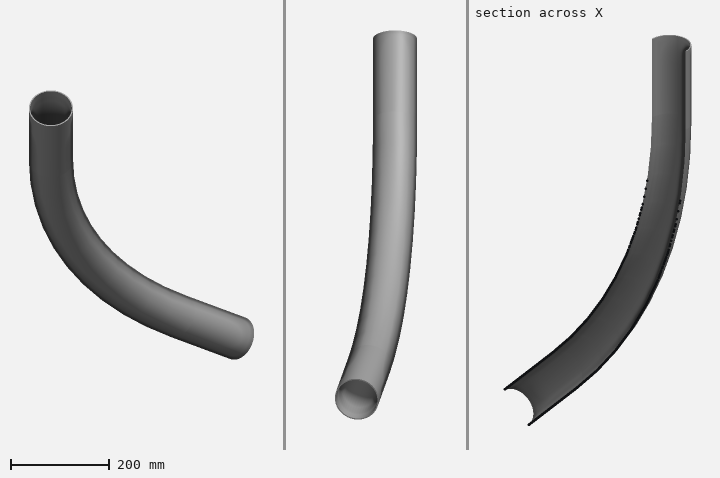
import cadquery as cq
import math

outer_diameter = 89.0
inner_diameter = 84.0
straight_length = 178.0
bend_radius = 915.0
bend_angle = 45.0


def point_on_bend(angle_degrees):
    """Centreline point (Y, Z) after turning from vertical, starting at the origin."""
    angle = math.radians(angle_degrees)
    return (bend_radius * (1 - math.cos(angle)), -bend_radius * math.sin(angle))


bend_middle = point_on_bend(bend_angle / 2)
bend_end = point_on_bend(bend_angle)
slope = math.radians(bend_angle)
lower_end = (
    bend_end[0] + straight_length * math.sin(slope),
    bend_end[1] - straight_length * math.cos(slope),
)
centreline = (
    cq.Workplane("YZ")
    .moveTo(0, straight_length)
    .lineTo(0, 0)
    .threePointArc(bend_middle, bend_end)
    .lineTo(*lower_end)
)

result = (
    cq.Workplane("XY", origin=(0, 0, straight_length))
    .circle(outer_diameter / 2)
    .circle(inner_diameter / 2)
    .sweep(centreline)
)